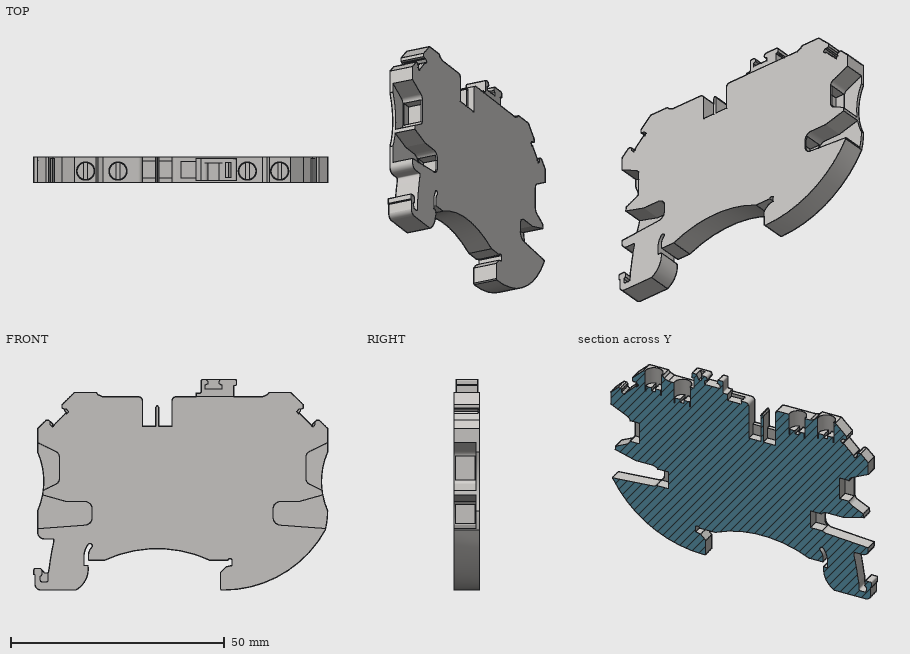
import cadquery as cq

LENGTH = 69.0
HEIGHT = 49.5
THICKNESS = 6.0

LEFT_X = 0.9
MID_X = (LEFT_X + LENGTH) / 2
TOP_Z = 46.4
DECK_Z = 45.4
SHOULDER_Z = 37.95
WAIST_TOP_Z = 32.4
WAIST_BOTTOM_Z = 18.6
WAIST_DEPTH = 1.45
WAIST_MID_Z = (WAIST_TOP_Z + WAIST_BOTTOM_Z) / 2

RAIL_X = 29.0
RAIL_Z = 7.0
ARCH_HALF_WIDTH = 12.4
ARCH_RISE = 2.75
SWEEP_START_X = 44.5
HEEL_X = 68.45
HEEL_Z = 14.15

SLOT_HALF_WIDTH = 3.45
SLOT_FLOOR_Z = 38.5
SLOT_EDGE_RADIUS = 1.0
WELL_FRONT_Y = 1.05
WELL_BACK_Y = 5.1
WELL_DEPTH = 2.75
BLADE_WIDTH = 0.75
BLADE_SHOULDER_Z = 42.85
BLADE_TIP_Z = 43.3
BLADE_TIP_WIDTH = 0.2

POCKET_DEPTH = 5.2
OUTSIDE_X = -3.45
PORT_FRONT_Y = 0.4
PORT_BACK_Y = 4.9
PORT_DEPTH = 2.4

UPPER_POCKET_END_X = 6.0
UPPER_POCKET_MOUTH_TOP_Z = 34.6
UPPER_POCKET_MOUTH_BOTTOM_Z = 22.8
UPPER_POCKET_SLOPE = 0.49
UPPER_POCKET_RADIUS = 1.4
UPPER_PORT_BOTTOM_Z = 25.9
UPPER_PORT_TOP_Z = 31.45

LOWER_POCKET_END_X = 13.7
LOWER_POCKET_BOTTOM_Z = 15.4
LOWER_POCKET_TOP_Z = 20.85
LOWER_POCKET_BEND_X = 7.5
LOWER_POCKET_ROOF_SLOPE = 0.28
LOWER_POCKET_FLOOR_SLOPE = 0.075
LOWER_POCKET_RADIUS = 1.85
LOWER_PORT_BOTTOM_Z = 15.65
LOWER_PORT_TOP_Z = 20.15

BACK_WEB = 0.4

SCREW_Y = 2.7
SCREW_OUTER_OFFSET = 22.8
SCREW_INNER_OFFSET = 15.2
SCREW_HOLE_DIAMETER = 4.3
SCREW_HEAD_DIAMETER = 4.0
SCREW_HOLE_DEPTH = 5.5
SCREW_HEAD_HEIGHT = 1.4
SCREW_SLOT_WIDTH = 0.9
SCREW_SLOT_DEPTH = 0.8

HOLDER_LEFT_X = 38.1
HOLDER_WALL_X = 39.25
HOLDER_RIGHT_X = 47.0
HOLDER_LIP_X = 47.6
HOLDER_LIP_Z = 48.0
HOLDER_STEP_Z = 46.2
HOLDER_EDGE_RADIUS = 0.4
HOLDER_FRONT_Y = 0.5
HOLDER_BACK_Y = 5.6
SEAT_LEFT_X = 40.15
SEAT_RIGHT_X = 44.15
SEAT_FLOOR_Z = 47.25
SEAT_BACK_Y = 4.6
SEAT_OVERRUN = 0.7
HOLDER_WINDOW_DEPTH = 1.4
WINDOW_LEFT_X = 45.05
WINDOW_RIGHT_X = 46.3
WINDOW_FRONT_Y = 1.2
WINDOW_BACK_Y = 4.75
DECK_RECESS_LEFT_X = 34.5
DECK_RECESS_FRONT_Y = 1.05
DECK_RECESS_BACK_Y = 4.9
DECK_RECESS_DEPTH = 0.8


def plate(wire, front_y, back_y):
    """Extrude a closed XZ outline from front_y to back_y."""
    return wire.extrude(front_y - back_y).translate((0, front_y, 0))


def polygon(points, front_y, back_y):
    return plate(cq.Workplane("XZ").polyline(points).close(), front_y, back_y)


def block(x0, x1, y0, y1, z0, z1):
    return cq.Workplane("XY").box(x1 - x0, y1 - y0, z1 - z0, centered=False).translate((x0, y0, z0))


def mirrored(points, mid_x):
    """Reflect XZ points about x = mid_x, in reverse order."""
    return [(2 * mid_x - x, z) for x, z in reversed(points)]


def mirror_pair(solid, mid_x):
    return solid.union(solid.mirror("YZ", (mid_x, 0, 0)))


def housing():
    shoulder = [
        (LEFT_X, SHOULDER_Z),
        (2.9, 39.9), (3.5, 39.9),
        (4.5, 39.0), (4.5, 38.5),
        (7.65, 41.7),
        (7.25, 42.1), (7.25, 42.4),
        (6.6, 42.7), (6.6, 43.5),
        (9.6, TOP_Z), (14.6, TOP_Z),
        (15.1, 45.9), (16.2, DECK_Z),
    ]
    slot_left = RAIL_X - SLOT_HALF_WIDTH
    slot_right = RAIL_X + SLOT_HALF_WIDTH
    slot_edge_z = DECK_Z - SLOT_EDGE_RADIUS
    waist_right = LENGTH - WAIST_DEPTH
    sweep_radius = ((HEEL_X - SWEEP_START_X) ** 2 + HEEL_Z ** 2) / (2 * HEEL_Z)
    outline = (
        cq.Workplane("XZ")
        .moveTo(LEFT_X, WAIST_BOTTOM_Z)
        .threePointArc((LEFT_X + WAIST_DEPTH, WAIST_MID_Z), (LEFT_X, WAIST_TOP_Z))
        .polyline(shoulder, includeCurrent=True)
        .lineTo(slot_left - SLOT_EDGE_RADIUS, DECK_Z)
        .radiusArc((slot_left, slot_edge_z), SLOT_EDGE_RADIUS)
        .lineTo(slot_left, SLOT_FLOOR_Z)
        .lineTo(slot_right, SLOT_FLOOR_Z)
        .lineTo(slot_right, slot_edge_z)
        .radiusArc((slot_right + SLOT_EDGE_RADIUS, DECK_Z), SLOT_EDGE_RADIUS)
        .polyline(mirrored(shoulder, MID_X), includeCurrent=True)
        .lineTo(LENGTH, WAIST_TOP_Z)
        .threePointArc((waist_right, WAIST_MID_Z), (LENGTH, WAIST_BOTTOM_Z))
        .threePointArc((68.85, 16.5), (HEEL_X, HEEL_Z))
        .radiusArc((SWEEP_START_X, 0), sweep_radius)
        .lineTo(44.1, 0)
        .lineTo(43.8, 0.3)
        .lineTo(43.8, 4.15)
        .lineTo(45.2, 5.5)
        .lineTo(46.5, 5.8)
        .lineTo(46.5, 7.2)
        .threePointArc((46.1, 7.4), (45.5, RAIL_Z))
        .lineTo(RAIL_X + ARCH_HALF_WIDTH, RAIL_Z)
        .threePointArc((RAIL_X, RAIL_Z + ARCH_RISE), (RAIL_X - ARCH_HALF_WIDTH, RAIL_Z))
        .lineTo(13.1, RAIL_Z)
        .radiusArc((12.8, RAIL_Z + 0.3), 0.3)
        .lineTo(12.8, 8.35)
        .threePointArc((13.05, 9.25), (13.6, 10.1))
        .threePointArc((13.4, 10.9), (12.7, 10.6))
        .threePointArc((12.1, 9.4), (11.8, 7.8))
        .lineTo(11.8, 5.8)
        .lineTo(12.75, 5.8)
        .threePointArc((12.0, 2.1), (9.9, 0))
        .lineTo(1.7, 0)
        .radiusArc((0.3, 1.2), 1.5)
        .lineTo(0.3, 3.6)
        .lineTo(0, 3.7)
        .lineTo(0, 4.7)
        .radiusArc((0.4, 5.1), 0.4)
        .lineTo(1.6, 5.1)
        .lineTo(2.55, 4.1)
        .lineTo(3.4, 4.1)
        .lineTo(3.6, 5.1)
        .threePointArc((4.1, 8.35), (4.7, 11.45))
        .lineTo(4.7, 11.7)
        .radiusArc((4.4, 12.0), -0.3)
        .lineTo(2.5, 12.0)
        .radiusArc((LEFT_X, 13.6), 1.6)
        .close()
    )
    return plate(outline, 0, THICKNESS)


def notch_undercuts():
    """Sharp inner corners of the label notches, closed by a web at the back."""
    lower = [(3.85, 39.5), (3.85, 38.85), (4.4, 38.3), (4.8, 38.7), (4.55, 39.45)]
    upper = [(7.1, 42.5), (7.65, 42.5), (8.2, 41.9), (7.7, 41.4), (7.1, 41.6)]
    back_y = THICKNESS - BACK_WEB
    corners = polygon(lower, 0, back_y).union(polygon(upper, 0, back_y))
    return mirror_pair(corners, MID_X)


def hook_pocket():
    """Rounded eye inside the foot hook, closed by a web at the back."""
    eye = (
        cq.Workplane("XZ")
        .moveTo(1.9, 4.8)
        .lineTo(1.9, 3.65)
        .lineTo(1.5, 3.2)
        .lineTo(1.5, 2.4)
        .radiusArc((2.0, 1.9), -0.5)
        .lineTo(2.9, 1.9)
        .radiusArc((3.4, 2.4), -0.5)
        .lineTo(3.4, 4.1)
        .close()
    )
    return plate(eye, 0, THICKNESS - BACK_WEB)


def wire_pockets():
    run = UPPER_POCKET_END_X - LEFT_X
    overrun = LEFT_X - OUTSIDE_X
    upper = polygon(
        [
            (OUTSIDE_X, UPPER_POCKET_MOUTH_TOP_Z + UPPER_POCKET_SLOPE * overrun),
            (UPPER_POCKET_END_X, UPPER_POCKET_MOUTH_TOP_Z - UPPER_POCKET_SLOPE * run),
            (UPPER_POCKET_END_X, UPPER_POCKET_MOUTH_BOTTOM_Z + UPPER_POCKET_SLOPE * run),
            (OUTSIDE_X, UPPER_POCKET_MOUTH_BOTTOM_Z - UPPER_POCKET_SLOPE * overrun),
        ],
        0, POCKET_DEPTH,
    )
    upper = upper.edges("|Y and >X").fillet(UPPER_POCKET_RADIUS)

    roof_rise = LOWER_POCKET_ROOF_SLOPE * (LOWER_POCKET_BEND_X - OUTSIDE_X)
    floor_drop = LOWER_POCKET_FLOOR_SLOPE * (LOWER_POCKET_END_X - OUTSIDE_X)
    lower = polygon(
        [
            (OUTSIDE_X, LOWER_POCKET_TOP_Z + roof_rise),
            (LOWER_POCKET_BEND_X, LOWER_POCKET_TOP_Z),
            (LOWER_POCKET_END_X, LOWER_POCKET_TOP_Z),
            (LOWER_POCKET_END_X, LOWER_POCKET_BOTTOM_Z),
            (OUTSIDE_X, LOWER_POCKET_BOTTOM_Z - floor_drop),
        ],
        0, POCKET_DEPTH,
    )
    lower = lower.edges("|Y and >X").fillet(LOWER_POCKET_RADIUS)

    def port(pocket_end_x, radius, bottom_z, top_z):
        return block(
            pocket_end_x - radius, pocket_end_x + PORT_DEPTH,
            PORT_FRONT_Y, PORT_BACK_Y, bottom_z, top_z,
        )

    upper_port = port(UPPER_POCKET_END_X, UPPER_POCKET_RADIUS, UPPER_PORT_BOTTOM_Z, UPPER_PORT_TOP_Z)
    lower_port = port(LOWER_POCKET_END_X, LOWER_POCKET_RADIUS, LOWER_PORT_BOTTOM_Z, LOWER_PORT_TOP_Z)
    left_side = upper.union(lower).union(upper_port).union(lower_port)
    return mirror_pair(left_side, MID_X)


def bridge_well():
    return block(
        RAIL_X - SLOT_HALF_WIDTH, RAIL_X + SLOT_HALF_WIDTH,
        WELL_FRONT_Y, WELL_BACK_Y,
        SLOT_FLOOR_Z - WELL_DEPTH, SLOT_FLOOR_Z,
    )


def contact_blade():
    left_half = [
        (RAIL_X - BLADE_WIDTH / 2, SLOT_FLOOR_Z - WELL_DEPTH),
        (RAIL_X - BLADE_WIDTH / 2, BLADE_SHOULDER_Z),
        (RAIL_X - BLADE_TIP_WIDTH / 2, BLADE_TIP_Z),
    ]
    return polygon(left_half + mirrored(left_half, RAIL_X), 0, THICKNESS)


def cylinder(x, diameter, bottom_z, height):
    return cq.Workplane("XY", origin=(x, SCREW_Y, bottom_z)).circle(diameter / 2).extrude(height)


def screw_cut(x, surface_z):
    """Screw shaft with a slotted head left standing on its floor."""
    floor_z = surface_z - SCREW_HOLE_DEPTH
    head_top_z = floor_z + SCREW_HEAD_HEIGHT
    head = cylinder(x, SCREW_HEAD_DIAMETER, floor_z, SCREW_HEAD_HEIGHT)
    slot = block(
        x - SCREW_SLOT_WIDTH / 2, x + SCREW_SLOT_WIDTH / 2,
        SCREW_Y - SCREW_HEAD_DIAMETER / 2, SCREW_Y + SCREW_HEAD_DIAMETER / 2,
        head_top_z - SCREW_SLOT_DEPTH, head_top_z,
    )
    return cylinder(x, SCREW_HOLE_DIAMETER, floor_z, SCREW_HOLE_DEPTH).cut(head.cut(slot))


def marker_holder():
    outline = (
        cq.Workplane("XZ")
        .moveTo(HOLDER_LEFT_X, DECK_Z - DECK_RECESS_DEPTH)
        .lineTo(HOLDER_LEFT_X, HOLDER_STEP_Z)
        .lineTo(38.9, HOLDER_STEP_Z)
        .radiusArc((HOLDER_WALL_X, HOLDER_STEP_Z + 0.35), -0.35)
        .lineTo(HOLDER_WALL_X, HEIGHT - HOLDER_EDGE_RADIUS)
        .radiusArc((HOLDER_WALL_X + HOLDER_EDGE_RADIUS, HEIGHT), HOLDER_EDGE_RADIUS)
        .lineTo(HOLDER_LIP_X - HOLDER_EDGE_RADIUS, HEIGHT)
        .radiusArc((HOLDER_LIP_X, HEIGHT - HOLDER_EDGE_RADIUS), HOLDER_EDGE_RADIUS)
        .lineTo(HOLDER_LIP_X, HOLDER_LIP_Z + 0.2)
        .lineTo(HOLDER_LIP_X - 0.2, HOLDER_LIP_Z)
        .lineTo(HOLDER_RIGHT_X, HOLDER_LIP_Z)
        .lineTo(HOLDER_RIGHT_X, DECK_Z - DECK_RECESS_DEPTH)
        .close()
    )
    seat = (
        cq.Workplane("XZ")
        .moveTo(SEAT_LEFT_X, SEAT_FLOOR_Z)
        .lineTo(SEAT_LEFT_X, 48.1)
        .lineTo(40.85, 48.4)
        .threePointArc((40.8, 49.1), (SEAT_LEFT_X, HEIGHT))
        .lineTo(SEAT_LEFT_X, HEIGHT + SEAT_OVERRUN)
        .lineTo(SEAT_RIGHT_X, HEIGHT + SEAT_OVERRUN)
        .lineTo(SEAT_RIGHT_X, HEIGHT)
        .threePointArc((43.6, 49.2), (43.5, 48.4))
        .lineTo(SEAT_RIGHT_X, 48.1)
        .lineTo(SEAT_RIGHT_X, SEAT_FLOOR_Z)
        .close()
    )
    window_floor_z = HEIGHT - HOLDER_WINDOW_DEPTH
    window = polygon(
        [
            (WINDOW_LEFT_X, HEIGHT),
            (WINDOW_LEFT_X, window_floor_z),
            ((WINDOW_LEFT_X + WINDOW_RIGHT_X) / 2, window_floor_z),
            (WINDOW_RIGHT_X, HEIGHT),
        ],
        WINDOW_FRONT_Y, WINDOW_BACK_Y,
    )
    holder = plate(outline, HOLDER_FRONT_Y, HOLDER_BACK_Y)
    return holder.cut(plate(seat, 0, SEAT_BACK_Y)).cut(window)


def deck_recess():
    return block(
        DECK_RECESS_LEFT_X, HOLDER_LEFT_X,
        DECK_RECESS_FRONT_Y, DECK_RECESS_BACK_Y,
        DECK_Z - DECK_RECESS_DEPTH, DECK_Z,
    )


result = housing()
for cutter in (notch_undercuts(), hook_pocket(), wire_pockets(), bridge_well(), deck_recess()):
    result = result.cut(cutter)
result = result.union(contact_blade()).union(marker_holder())
for side in (-1, 1):
    result = result.cut(screw_cut(MID_X + side * SCREW_OUTER_OFFSET, TOP_Z))
    result = result.cut(screw_cut(MID_X + side * SCREW_INNER_OFFSET, DECK_Z))